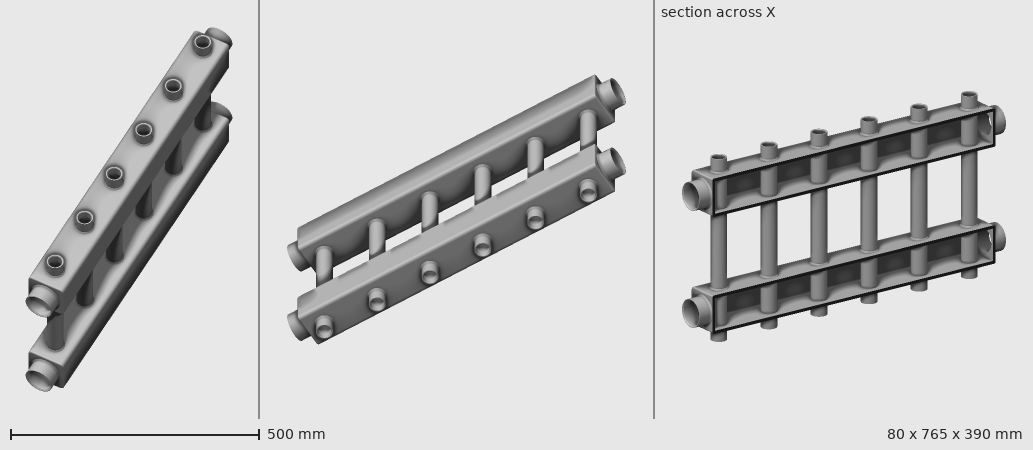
import cadquery as cq

overall_length = 765.0
overall_height = 390.0
header_size = 80.0
header_length = 704.5
header_spacing = 250.0
header_wall = 4.0
corner_radius = 8.0
end_rounding = 3.0

end_pipe_outer = 60.0
end_pipe_inner = 53.0
end_pipe_mouth = 57.0
riser_outer = 34.0
riser_inner = 27.5
riser_mouth = 30.0
riser_count = 6
riser_row_length = 625.0

weld_leg = 3.0

riser_pitch = riser_row_length / (riser_count - 1)
header_levels = [-header_spacing / 2, header_spacing / 2]
riser_places = [(i - (riser_count - 1) / 2) * riser_pitch for i in range(riser_count)]


def cylinder(diameter, length):
    """Cylinder centred on the origin, along Z."""
    return cq.Workplane("XY").circle(diameter / 2).extrude(length / 2, both=True)


def cone(lower_diameter, upper_diameter, height, base_level):
    """Truncated cone on the Z axis, standing on base_level."""
    lower_radius = lower_diameter / 2
    upper_radius = upper_diameter / 2
    return cq.Workplane(
        cq.Solid.makeCone(lower_radius, upper_radius, height, pnt=cq.Vector(0, 0, base_level))
    )


def pipe_bore(inner, mouth, length):
    """Through bore along Z, bevelled open to the mouth diameter at both ends."""
    depth = (mouth - inner) / 2
    bevel = cone(inner, mouth, depth, length / 2 - depth)
    return cylinder(inner, length).union(bevel).union(bevel.mirror("XY"))


def weld_pair(pipe_diameter, face_distance):
    """Weld beads on two opposite faces, each face_distance from the origin along Z."""
    bead = cone(pipe_diameter + 2 * weld_leg, pipe_diameter, weld_leg, face_distance)
    return bead.union(bead.mirror("XY"))


def along_y(body):
    """Turn a body built along Z so that it lies along Y."""
    return body.rotate((0, 0, 0), (1, 0, 0), 90)


def make_header():
    """Hollow header with an open pipe at each end, centred on the origin."""
    shell = (
        cq.Workplane("XY")
        .box(header_size, header_length, header_size)
        .edges("|Y").fillet(corner_radius)
        .faces("<Y or >Y").edges().fillet(end_rounding)
    )
    cavity_size = header_size - 2 * header_wall
    cavity = (
        cq.Workplane("XY")
        .box(cavity_size, header_length - 2 * header_wall, cavity_size)
        .edges("|Y").fillet(corner_radius - header_wall)
    )
    end_pipes = cylinder(end_pipe_outer, overall_length).union(weld_pair(end_pipe_outer, header_length / 2))
    bore = pipe_bore(end_pipe_inner, end_pipe_mouth, overall_length)
    return shell.union(along_y(end_pipes)).cut(cavity).cut(along_y(bore))


def make_riser_body():
    """Riser before boring, with weld beads where it passes through the header walls."""
    riser = cylinder(riser_outer, overall_height)
    beads = weld_pair(riser_outer, header_size / 2)
    for level in header_levels:
        riser = riser.union(beads.translate((0, 0, level)))
    return riser


header = make_header()
riser_body = make_riser_body()
riser_bore = pipe_bore(riser_inner, riser_mouth, overall_height)

lower_level, upper_level = header_levels
result = header.translate((0, 0, lower_level)).union(header.translate((0, 0, upper_level)))
for place in riser_places:
    result = result.union(riser_body.translate((0, place, 0)))
    result = result.cut(riser_bore.translate((0, place, 0)))